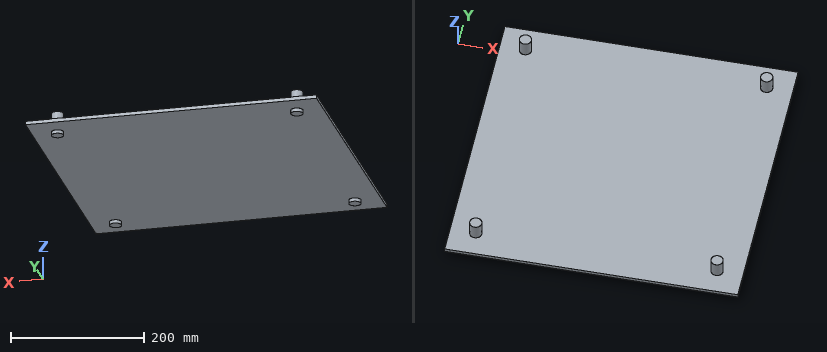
import cadquery as cq

plate_side = 450.0
plate_thickness = 6.0

pin_diameter = 18.5
pin_spacing = 370.0
pin_rise = 24.5
pin_drop = 5.5
pin_length = pin_drop + plate_thickness + pin_rise

plate = cq.Workplane("XY").box(plate_side, plate_side, plate_thickness, centered=(True, True, False))

pins = (
    cq.Workplane("XY", origin=(0, 0, -pin_drop))
    .rarray(pin_spacing, pin_spacing, 2, 2)
    .circle(pin_diameter / 2)
    .extrude(pin_length)
)

result = plate.union(pins)